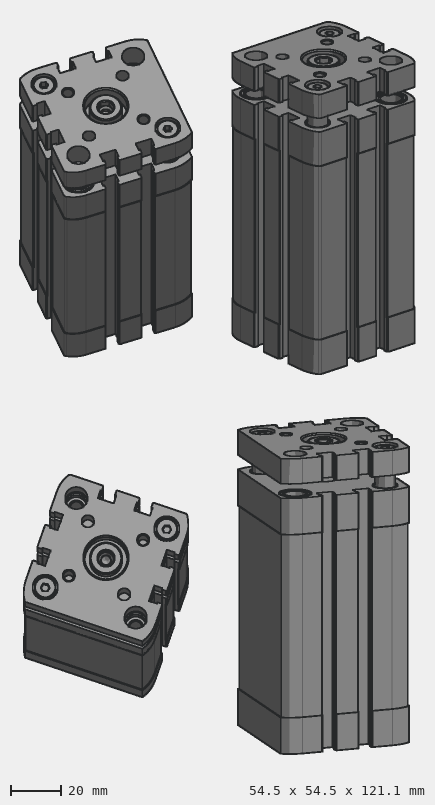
import cadquery as cq
import math


total_height = 121.1
width = 54.5
half_width = width / 2
plate_thickness = 10.3
gap = 5.9
cap_length = 14.9
barrel_inset = 0.4

housing_height = total_height - plate_thickness - gap
plate_bottom = total_height - plate_thickness
barrel_length = housing_height - 2 * cap_length

flat_half_length = 19.0
corner_radius = 14.3
edge_round = 1.3

slot_offset = 7.6
slot_opening = 5.5
slot_inner_width = 6.7
slot_depth = 5.5
lip_thickness = 2.0
lip_chamfer = 0.4

corner_offset = 19.0
guide_places = [(-corner_offset, -corner_offset), (corner_offset, corner_offset)]
screw_places = [(-corner_offset, corner_offset), (corner_offset, -corner_offset)]

guide_diameter = 8.1
guide_end_diameter = 8.5
guide_end_chamfer = 0.2
guide_end_depth = 0.7
guide_recess_diameter = 10.0
guide_recess_depth = 1.8
guide_hex = 3.0
guide_hex_depth = 3.0

bore_diameter = 8.6
bore_mouth_diameter = 10.0
bore_mouth_depth = 0.2
screw_bore_depth = 4.8
screw_groove_diameter = 13.0
screw_rim_diameter = 11.9
screw_hole_diameter = 5.0
screw_hole_mouth = 6.0
screw_hole_flare_depth = 0.3

rod_diameter = 12.0
rod_end_diameter = 13.0
rod_end_chamfer = 0.5
rod_end_depth = 0.8
rod_recess_diameter = 17.0
rod_recess_mouth = 18.2
rod_recess_depth = 6.0
flats_width = 10.0
flats_bottom = 1.5
flats_runout = 0.6
rod_hex = 5.9
rod_hex_mouth = 7.0
rod_hex_depth = 3.0
rod_cone_depth = 1.0
rod_drill_diameter = 4.0
rod_drill_depth = 1.2
drill_tip_angle = 118.0

hex_turn = 15.0

screw_access_diameter = 9.0
small_hole_offset = 11.6
small_hole_diameter = 5.0
thread_diameter = 4.1


def cylinder(diameter, bottom, top, place=(0, 0)):
    return cq.Workplane("XY", origin=(*place, bottom)).circle(diameter / 2).extrude(top - bottom)


def cone(bottom_diameter, top_diameter, bottom, top, place=(0, 0)):
    solid = cq.Solid.makeCone(
        bottom_diameter / 2, top_diameter / 2, top - bottom, cq.Vector(*place, bottom), cq.Vector(0, 0, 1)
    )
    return cq.Workplane(solid)


def countersink(hole_diameter, mouth_diameter, face, place=(0, 0)):
    """45 degree flare that widens a hole up to its mouth at the given height."""
    depth = (mouth_diameter - hole_diameter) / 2
    return cone(hole_diameter, mouth_diameter, face - depth, face, place)


def hex_socket(across_flats, bottom, top, place=(0, 0)):
    corner_diameter = across_flats / math.cos(math.pi / 6)
    return (
        cq.Workplane("XY", origin=(*place, bottom))
        .transformed(rotate=(0, 0, hex_turn))
        .polygon(6, corner_diameter)
        .extrude(top - bottom)
    )


def profile_block(inset, bottom, top):
    """Slotless block with the common outline, drawn in by the inset on all sides."""
    side = half_width - inset
    radius = corner_radius - inset
    arc_centre = side - radius
    rise = side - flat_half_length
    corner_x = arc_centre + math.sqrt(radius**2 - rise**2)
    half_angle = math.asin(rise / radius) / 2
    mid_x = arc_centre + radius * math.cos(half_angle)
    mid_y = flat_half_length + radius * math.sin(half_angle)
    margin = 0.1
    front_corners = cq.selectors.BoxSelector(
        (-corner_x - margin, -side - margin, bottom), (corner_x + margin, -side + margin, top)
    )
    return (
        cq.Workplane("XY", origin=(0, 0, bottom))
        .moveTo(side, -flat_half_length)
        .lineTo(side, flat_half_length)
        .threePointArc((mid_x, mid_y), (corner_x, side))
        .lineTo(-corner_x, side)
        .threePointArc((-mid_x, mid_y), (-side, flat_half_length))
        .lineTo(-side, -flat_half_length)
        .threePointArc((-mid_x, -mid_y), (-corner_x, -side))
        .lineTo(corner_x, -side)
        .threePointArc((mid_x, -mid_y), (side, -flat_half_length))
        .close()
        .extrude(top - bottom)
        .edges(front_corners)
        .edges("|Z")
        .fillet(edge_round)
    )


def slot_cutter(inset, bottom, top):
    """T-slots on the -Y, -X and +X sides, with chamfered lips."""
    side = half_width - inset
    opening = slot_opening / 2
    inner = slot_inner_width / 2
    lip_back = lip_thickness - half_width
    floor = slot_depth - half_width
    right_half = [
        (opening + lip_chamfer, -side),
        (opening, lip_chamfer - side),
        (opening, lip_back),
        (inner, lip_back),
        (inner, floor),
    ]
    left_half = [(-x, y) for x, y in reversed(right_half)]
    outline = cq.Workplane("XY", origin=(0, 0, bottom)).polyline(right_half + left_half).close()
    slot = outline.extrude(top - bottom)
    pair = slot.translate((slot_offset, 0, 0)).add(slot.translate((-slot_offset, 0, 0))).combine()
    cutter = pair
    for angle in (-90, 90):
        cutter = cutter.add(pair.rotate((0, 0, 0), (0, 0, 1), angle))
    return cutter.combine()


def slotted_block(inset, bottom, top):
    return profile_block(inset, bottom, top).cut(slot_cutter(inset, bottom, top))


def make_screw_groove(place):
    """Ring groove with a vertical outer wall and a sloping inner wall, round the mouth of a screw hole."""
    depth = (screw_groove_diameter - screw_rim_diameter) / 2
    floor = housing_height - depth
    ring = cylinder(screw_groove_diameter, floor, housing_height, place)
    return ring.cut(cone(screw_groove_diameter, screw_rim_diameter, floor, housing_height, place))


def make_screw_hole(place):
    """Through hole with a flare at the floor of its counterbore and a shallow dished mouth."""
    bore_floor = housing_height - screw_bore_depth
    flare_bottom = bore_floor - screw_hole_flare_depth
    dish_bottom = housing_height - bore_mouth_depth
    return (
        cylinder(screw_hole_diameter, 0, bore_floor, place)
        .union(cone(screw_hole_diameter, screw_hole_mouth, flare_bottom, bore_floor, place))
        .union(cylinder(bore_diameter, bore_floor, housing_height, place))
        .union(cone(bore_diameter, bore_mouth_diameter, dish_bottom, housing_height, place))
    )


def make_housing():
    cap_joint = cap_length + barrel_length
    mouth_floor = housing_height - bore_mouth_depth
    body = (
        slotted_block(0, 0, cap_length)
        .union(slotted_block(barrel_inset, cap_length, cap_joint))
        .union(slotted_block(0, cap_joint, housing_height))
    )
    body = body.cut(cylinder(rod_diameter, cap_joint, housing_height))
    for place in guide_places:
        body = body.cut(cylinder(bore_mouth_diameter, mouth_floor, housing_height, place))
        body = body.cut(cylinder(bore_diameter, cap_joint, housing_height, place))
    for place in screw_places:
        body = body.cut(make_screw_groove(place)).cut(make_screw_hole(place))
    return body


def make_piston_rod():
    bottom = housing_height - cap_length
    top = total_height - rod_end_depth
    rod = cylinder(rod_diameter, bottom, plate_bottom)
    head = cylinder(rod_end_diameter, plate_bottom, top).faces(">Z").chamfer(rod_end_chamfer)
    rod = rod.union(head)

    flat_y = flats_width / 2
    rod_radius = rod_diameter / 2
    flat_z = housing_height + flats_bottom
    flat = (
        cq.Workplane("YZ")
        .polyline([
            (flat_y, plate_bottom),
            (flat_y, flat_z),
            (rod_radius, flat_z - flats_runout),
            (rod_radius, plate_bottom),
        ])
        .close()
        .extrude(rod_radius, both=True)
    )
    return rod.cut(flat).cut(flat.mirror("XZ"))


def make_rod_socket():
    """Flared hexagon socket over a coned pilot hole."""
    top = total_height - rod_end_depth
    hex_floor = top - rod_hex_depth
    drill_top = hex_floor - rod_cone_depth
    drill_bottom = drill_top - rod_drill_depth
    tip_height = rod_drill_diameter / 2 / math.tan(math.radians(drill_tip_angle / 2))
    return (
        hex_socket(rod_hex, hex_floor, top)
        .union(countersink(rod_hex, rod_hex_mouth, top))
        .union(cone(rod_drill_diameter, rod_hex, drill_top, hex_floor))
        .union(cylinder(rod_drill_diameter, drill_bottom, drill_top))
        .union(cone(0, rod_drill_diameter, drill_bottom - tip_height, drill_bottom))
    )


def make_guide_rod(place):
    shaft = cylinder(guide_diameter, housing_height - cap_length, plate_bottom, place)
    head = cylinder(guide_end_diameter, plate_bottom, total_height - guide_end_depth, place)
    return shaft.union(head.faces(">Z").chamfer(guide_end_chamfer))


def make_guide_socket(place):
    top = total_height - guide_end_depth
    return hex_socket(guide_hex, top - guide_hex_depth, top, place)


def make_plate():
    plate = slotted_block(0, plate_bottom, total_height)
    plate = plate.cut(cylinder(rod_recess_diameter, total_height - rod_recess_depth, total_height))
    plate = plate.cut(countersink(rod_recess_diameter, rod_recess_mouth, total_height))
    guide_recess_floor = total_height - guide_recess_depth
    for place in guide_places:
        plate = plate.cut(cylinder(guide_recess_diameter, guide_recess_floor, total_height, place))
    for place in screw_places:
        plate = plate.cut(cylinder(screw_access_diameter, plate_bottom, total_height, place))

    near = small_hole_offset
    for place in [(-near, near), (near, -near)]:
        plate = plate.cut(cylinder(small_hole_diameter, plate_bottom, total_height, place))
    for place in [(-near, -near), (near, near)]:
        plate = plate.cut(cylinder(thread_diameter, plate_bottom, total_height, place))
        plate = plate.cut(countersink(thread_diameter, small_hole_diameter, total_height, place))
    return plate


def make_yoke():
    """Plate, piston rod and guide rods, which move together as one body."""
    yoke = make_plate().union(make_piston_rod()).cut(make_rod_socket())
    for place in guide_places:
        yoke = yoke.union(make_guide_rod(place)).cut(make_guide_socket(place))
    return yoke


housing = make_housing()
yoke = make_yoke()
result = cq.Compound.makeCompound([housing.val(), yoke.val()])